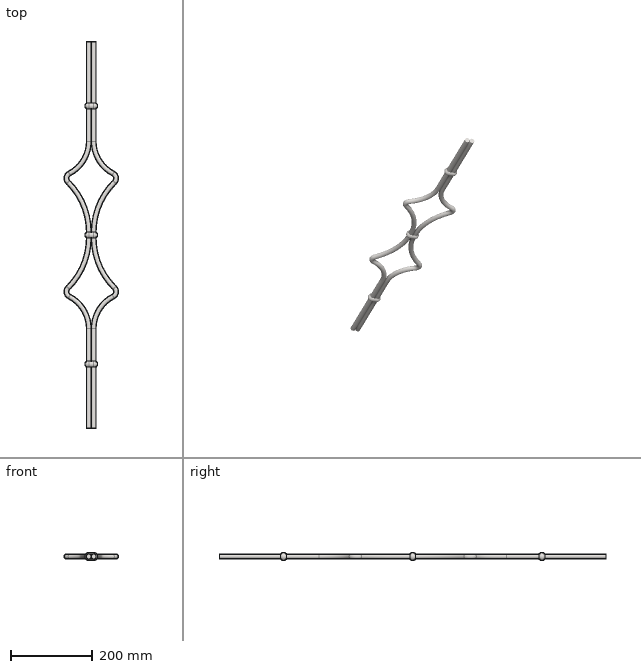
import cadquery as cq
import math

panel_length = 950.0
panel_width = 134.0

bar_radius = 6.0
outer_bow_radius = 89.0
inner_bow_radius = 173.0
corner_radius = 13.0

collar_length = 14.0
collar_height = 20.0
collar_spacing = 317.0

bar_offset = bar_radius
panel_end = panel_length / 2
collar_half_length = collar_length / 2


def point_on_circle(center, radius, angle):
    return (center[0] + radius * math.cos(angle), center[1] + radius * math.sin(angle))


corner_x = panel_width / 2 - bar_radius - corner_radius
outer_bow_x = bar_offset + outer_bow_radius
inner_bow_x = bar_offset + inner_bow_radius
inner_bow_y = collar_half_length
inner_bow_angle = math.acos((inner_bow_x - corner_x) / (inner_bow_radius + corner_radius))
outer_bow_angle = math.acos((outer_bow_x - corner_x) / (outer_bow_radius + corner_radius))
corner_y = inner_bow_y + (inner_bow_radius + corner_radius) * math.sin(inner_bow_angle)
outer_bow_y = corner_y + (outer_bow_radius + corner_radius) * math.sin(outer_bow_angle)

inner_bow_center = (inner_bow_x, inner_bow_y)
outer_bow_center = (outer_bow_x, outer_bow_y)
corner_center = (corner_x, corner_y)

inner_bow_start = (bar_offset, inner_bow_y)
inner_bow_middle = point_on_circle(inner_bow_center, inner_bow_radius, math.pi - inner_bow_angle / 2)
corner_start = point_on_circle(corner_center, corner_radius, -inner_bow_angle)
corner_middle = point_on_circle(corner_center, corner_radius, (outer_bow_angle - inner_bow_angle) / 2)
corner_end = point_on_circle(corner_center, corner_radius, outer_bow_angle)
outer_bow_middle = point_on_circle(outer_bow_center, outer_bow_radius, math.pi + outer_bow_angle / 2)
outer_bow_end = (bar_offset, outer_bow_y)


def mirrored(point):
    """Reflect a point of the rod axis to the -Y half."""
    return (point[0], -point[1])


def make_bar():
    """Round rod on the +X side, swept from the -Y end to the +Y end."""
    axis = (
        cq.Workplane("XY")
        .moveTo(bar_offset, -panel_end)
        .lineTo(*mirrored(outer_bow_end))
        .threePointArc(mirrored(outer_bow_middle), mirrored(corner_end))
        .threePointArc(mirrored(corner_middle), mirrored(corner_start))
        .threePointArc(mirrored(inner_bow_middle), mirrored(inner_bow_start))
        .lineTo(*inner_bow_start)
        .threePointArc(inner_bow_middle, corner_start)
        .threePointArc(corner_middle, corner_end)
        .threePointArc(outer_bow_middle, outer_bow_end)
        .lineTo(bar_offset, panel_end)
    )
    end_plane = cq.Plane(origin=(bar_offset, -panel_end, 0), xDir=(1, 0, 0), normal=(0, 1, 0))
    return cq.Workplane(end_plane).circle(bar_radius).sweep(axis)


def make_collar(center_y):
    """Strap with a rounded outer face, swept around the stadium outline of the two rods."""
    side = bar_offset + bar_radius
    outline = (
        cq.Workplane("XZ", origin=(0, center_y, 0))
        .moveTo(0, bar_radius)
        .lineTo(bar_offset, bar_radius)
        .threePointArc((side, 0), (bar_offset, -bar_radius))
        .lineTo(-bar_offset, -bar_radius)
        .threePointArc((-side, 0), (-bar_offset, bar_radius))
        .close()
    )
    section = (
        cq.Workplane("YZ", origin=(0, center_y, 0))
        .moveTo(-collar_half_length, bar_radius)
        .threePointArc((0, collar_height / 2), (collar_half_length, bar_radius))
        .close()
    )
    return section.sweep(outline)


right_bar = make_bar()
left_bar = right_bar.mirror("YZ")
bars = [right_bar, left_bar]
collars = [make_collar(step * collar_spacing) for step in (-1, 0, 1)]

result = cq.Compound.makeCompound([body.val() for body in bars + collars])